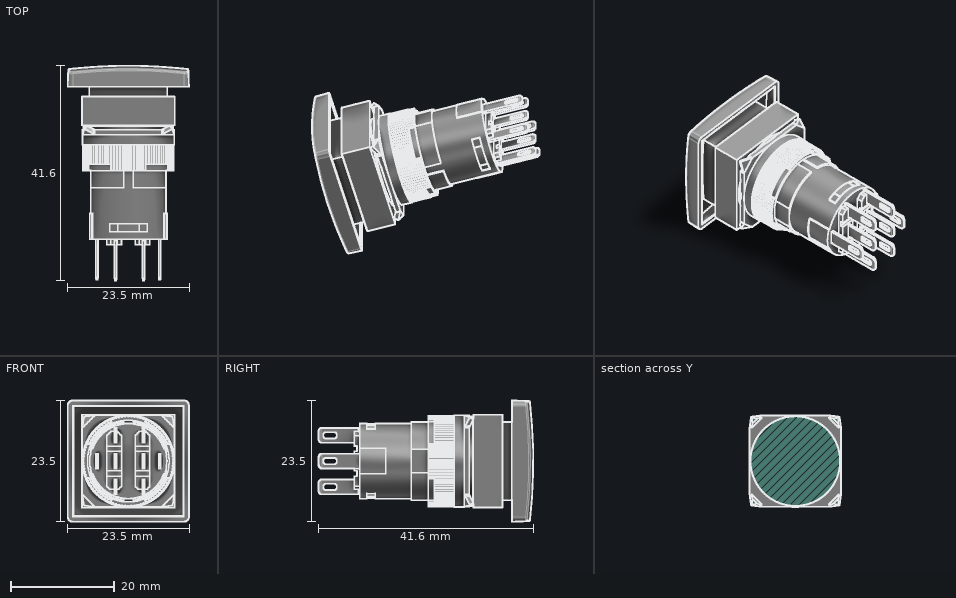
import cadquery as cq
import math


ORIGIN = (0, 0, 0)
AXIS = (0, 1, 0)

BLOCK_START = 6.9
TUBE_START = 8.0
PAD_END = 13.0
COLLAR_START = 17.97
NUT_START = 21.25
DISC_START = 26.3
WASHER_START = 28.25
WASHER_END = 29.15
SPACER_END = 29.83
BODY_START = 30.0
BODY_END = 35.7
CAP_START = 37.45
CAP_CROWN = 41.6

CAP_SIDE = 23.5
CAP_DRAFT = 2.0
CAP_CORNER_RADIUS = 1.05
CAP_EDGE_RADIUS = 0.35
CROWN_RADIUS = 99.85
CAP_THICKNESS = 1.25
CAP_OPENING = 21.17
CAP_LIP_CHAMFER = 0.12

NECK_SIDE = 15.15
BODY_SIDE = 17.97
BODY_CHAMFER = 0.12

WASHER_SIDE = 17.72
WASHER_CORNER_RADIUS = 0.25
FOLD_LEG = 2.4
FOLD_ANGLE = 40.0
SPACER_DIAMETER = 17.4
GROOVE_DIAMETER = 16.5

DISC_DIAMETER = 17.8
NUT_DIAMETER = 17.6
NUT_BORE = 15.8
KNURL_COUNT = 90
KNURL_DEPTH = 0.2
NOTCH_DIAMETER = 16.5
NOTCH_DEPTH = 1.2
NOTCH_ANGLE = 44.0

TUBE_DIAMETER = 14.6
COLLAR_DIAMETER = 15.3
COLLAR_GAP = 1.85
PAD_DIAMETER = 14.98
PAD_WIDTH = 4.9
LABEL_DIAMETER = 14.48
POCKET_DIAMETER = 14.23
POCKET_INNER = 2.1
POCKET_OUTER = 3.6
POCKET_START = 9.4
POCKET_END = 11.0

BLOCK_X = 2.75
BLOCK_WIDTH = 2.85
BLOCK_TOP = 5.75
BLOCK_BOTTOM = -5.5
BLOCK_TOP_CHAMFER = 0.85
BLOCK_BOTTOM_CHAMFER = 0.62
BLOCK_GROOVE_DEPTH = 0.55
BLOCK_GROOVE_WIDTH = 1.0
BLOCK_GROOVE_Z = 2.4

BLADE_WIDTH = 2.9
BLADE_THICKNESS = 0.45
BLADE_TIP_LENGTH = 0.5
BLADE_TIP_CUT = 0.7
BLADE_TIP_RADIUS = 1.05
BLADE_TIP_THICKNESS = 0.25
BLADE_EMBED = 0.4
SHOULDER_GAP = 0.25
HOLE_START = 1.0
HOLE_LENGTH = 2.55
HOLE_WIDTH = 1.15
HOLE_CORNER_RADIUS = 0.4
LAMP_BLADE_X = 6.07
LAMP_BLADE_TIP = 0.12
CONTACT_BLADE_XS = (-2.45, 2.95)
CONTACT_PITCH = 5.0


def section(y):
    """Sketch plane across the axis at y; local x is X, local y is Z, extruding toward -Y."""
    return cq.Workplane("XZ", origin=(0, y, 0))


def cylinder(diameter, start, end):
    return section(end).circle(diameter / 2).extrude(end - start)


def ring(outer, inner, start, end):
    return section(end).circle(outer / 2).circle(inner / 2).extrude(end - start)


def block(width, height, start, end, x=0.0, z=0.0):
    return section(end).center(x, z).rect(width, height).extrude(end - start)


def crown_ball(drop):
    """Large ball whose surface is the cap crown lowered by drop."""
    centre_y = CAP_CROWN - CROWN_RADIUS
    return cq.Workplane("XY").sphere(CROWN_RADIUS - drop).translate((0, centre_y, 0))


def make_cap():
    height = CAP_CROWN - CAP_START
    shell = (
        cq.Workplane("ZX", origin=(0, CAP_START, 0))
        .sketch()
        .rect(CAP_SIDE, CAP_SIDE)
        .vertices()
        .fillet(CAP_CORNER_RADIUS)
        .finalize()
        .extrude(height, taper=CAP_DRAFT)
        .intersect(crown_ball(0))
        .faces(">Y")
        .edges()
        .fillet(CAP_EDGE_RADIUS)
    )
    hollow = block(CAP_OPENING, CAP_OPENING, CAP_START, CAP_CROWN).intersect(crown_ball(CAP_THICKNESS))
    hollow = hollow.union(
        cq.Workplane("ZX", origin=(0, CAP_START, 0))
        .rect(CAP_OPENING + 2 * CAP_LIP_CHAMFER, CAP_OPENING + 2 * CAP_LIP_CHAMFER)
        .extrude(CAP_LIP_CHAMFER, taper=45)
    )
    return shell.cut(hollow)


def make_body():
    neck = block(NECK_SIDE, NECK_SIDE, BODY_END, CAP_CROWN - CAP_THICKNESS / 2)
    body = block(BODY_SIDE, BODY_SIDE, BODY_START, BODY_END)
    body = body.faces(">Y").edges().chamfer(BODY_CHAMFER)
    return body.union(neck)


def make_washer():
    """Square plate whose four corners are bent back toward the body."""
    square = block(WASHER_SIDE, WASHER_SIDE, WASHER_START, WASHER_END)
    square = square.edges("|Y").fillet(WASHER_CORNER_RADIUS)
    fold_distance = (WASHER_SIDE - FOLD_LEG) / math.sqrt(2)
    inside_folds = block(2 * fold_distance, 2 * fold_distance, WASHER_START, WASHER_END)
    washer = square.intersect(inside_folds.rotate(ORIGIN, AXIS, 45))

    beyond_fold = block(fold_distance, WASHER_SIDE, WASHER_START, WASHER_END, 1.5 * fold_distance)
    ear = square.rotate(ORIGIN, AXIS, 45).intersect(beyond_fold)
    ear = ear.rotate((fold_distance, WASHER_START, 0), (fold_distance, WASHER_START, 1), FOLD_ANGLE)
    for angle in (45, 135, 225, 315):
        washer = washer.union(ear.rotate(ORIGIN, AXIS, angle))
    return washer


def make_spacer():
    spacer = cylinder(SPACER_DIAMETER, WASHER_END, SPACER_END)
    return spacer.union(cylinder(GROOVE_DIAMETER, SPACER_END, BODY_START))


def make_nut():
    """Knurled ring with four notches in its terminal-side rim."""
    outline = []
    for i in range(2 * KNURL_COUNT):
        radius = NUT_DIAMETER / 2 - KNURL_DEPTH * (i % 2)
        angle = math.pi * i / KNURL_COUNT
        outline.append((radius * math.cos(angle), radius * math.sin(angle)))
    length = DISC_START - NUT_START
    nut = section(DISC_START).polyline(outline).close().extrude(length)
    nut = nut.cut(cylinder(NUT_BORE, NUT_START, DISC_START))

    reach = NUT_DIAMETER
    spread = reach * math.tan(math.radians(NOTCH_ANGLE / 2))
    wedge = (
        section(NUT_START + NOTCH_DEPTH)
        .polyline([(0, 0), (reach, spread), (reach, -spread)])
        .close()
        .extrude(NOTCH_DEPTH)
        .cut(cylinder(NOTCH_DIAMETER, NUT_START, NUT_START + NOTCH_DEPTH))
    )
    for angle in (45, 135, 225, 315):
        nut = nut.cut(wedge.rotate(ORIGIN, AXIS, angle))
    return nut


def cut_recess(tube, floor_diameter, x, width):
    """Recess of the given X width, cut down to a round floor on the top and bottom of the tube."""
    around = ring(COLLAR_DIAMETER, floor_diameter, POCKET_START, POCKET_END)
    strip = block(width, COLLAR_DIAMETER, POCKET_START, POCKET_END, x)
    return tube.cut(around.intersect(strip))


def make_tube():
    tube = cylinder(TUBE_DIAMETER, TUBE_START, DISC_START)

    collar = cylinder(COLLAR_DIAMETER, COLLAR_START, DISC_START)
    flats = block(TUBE_DIAMETER, COLLAR_DIAMETER, COLLAR_START, DISC_START)
    gaps = block(COLLAR_GAP, COLLAR_DIAMETER, COLLAR_START, DISC_START)
    tube = tube.union(collar.intersect(flats).cut(gaps))

    pads = cylinder(PAD_DIAMETER, TUBE_START, PAD_END)
    pads = pads.intersect(block(PAD_DIAMETER, PAD_WIDTH, TUBE_START, PAD_END))
    tube = tube.union(pads)

    tube = cut_recess(tube, LABEL_DIAMETER, 0, 2 * POCKET_INNER)
    pocket_x = (POCKET_INNER + POCKET_OUTER) / 2
    for x in (-pocket_x, pocket_x):
        tube = cut_recess(tube, POCKET_DIAMETER, x, POCKET_OUTER - POCKET_INNER)
    return tube


def make_terminal_block(x):
    height = BLOCK_TOP - BLOCK_BOTTOM
    middle = (BLOCK_TOP + BLOCK_BOTTOM) / 2
    body = block(BLOCK_WIDTH, height, BLOCK_START, TUBE_START, x, middle)
    body = body.faces(">Z").edges("|Y").chamfer(BLOCK_TOP_CHAMFER)
    body = body.faces("<Z").edges("|Y").chamfer(BLOCK_BOTTOM_CHAMFER)
    for z in (-BLOCK_GROOVE_Z, BLOCK_GROOVE_Z):
        body = body.cut(
            block(BLOCK_WIDTH, BLOCK_GROOVE_WIDTH, BLOCK_START, BLOCK_START + BLOCK_GROOVE_DEPTH, x, z)
        )
    return body


def make_blade(x, z, tip, root):
    """Flat solder terminal with a tapered tip and a rounded slot."""
    half_width = BLADE_WIDTH / 2
    half_thick = BLADE_THICKNESS / 2
    half_tip = BLADE_TIP_THICKNESS / 2
    shoulder = tip + BLADE_TIP_LENGTH
    end_half_width = half_width - BLADE_TIP_CUT
    outline = (
        cq.Workplane("YZ", origin=(x, 0, z))
        .moveTo(root, -half_width)
        .lineTo(shoulder, -half_width)
        .radiusArc((tip, -end_half_width), BLADE_TIP_RADIUS)
        .lineTo(tip, end_half_width)
        .radiusArc((shoulder, half_width), BLADE_TIP_RADIUS)
        .lineTo(root, half_width)
        .close()
        .extrude(half_thick, both=True)
    )
    taper = (
        cq.Workplane("XY", origin=(x, 0, z))
        .polyline([
            (-half_tip, tip),
            (half_tip, tip),
            (half_thick, shoulder),
            (half_thick, root),
            (-half_thick, root),
            (-half_thick, shoulder),
        ])
        .close()
        .extrude(half_width, both=True)
    )
    hole_middle = HOLE_START + HOLE_LENGTH / 2
    slot = (
        cq.Workplane("XY", origin=(x, hole_middle, z))
        .box(BLADE_THICKNESS, HOLE_LENGTH, HOLE_WIDTH)
        .edges("|X")
        .fillet(HOLE_CORNER_RADIUS)
    )
    return outline.intersect(taper).cut(slot)


def make_terminals():
    blades = []
    root = TUBE_START + BLADE_EMBED
    for x in (-LAMP_BLADE_X, LAMP_BLADE_X):
        blades.append(make_blade(x, 0, LAMP_BLADE_TIP, root))
    for x in CONTACT_BLADE_XS:
        blades.append(make_blade(x, 0, 0, root))
        for z in (-CONTACT_PITCH, CONTACT_PITCH):
            blades.append(make_blade(x, z, 0, TUBE_START - SHOULDER_GAP))
    return blades


disc = cylinder(DISC_DIAMETER, DISC_START, WASHER_START)
result = make_cap().union(make_body()).union(make_spacer()).union(make_washer())
result = result.union(disc).union(make_nut()).union(make_tube())
for block_x in (-BLOCK_X, BLOCK_X):
    result = result.union(make_terminal_block(block_x))
for blade in make_terminals():
    result = result.union(blade)